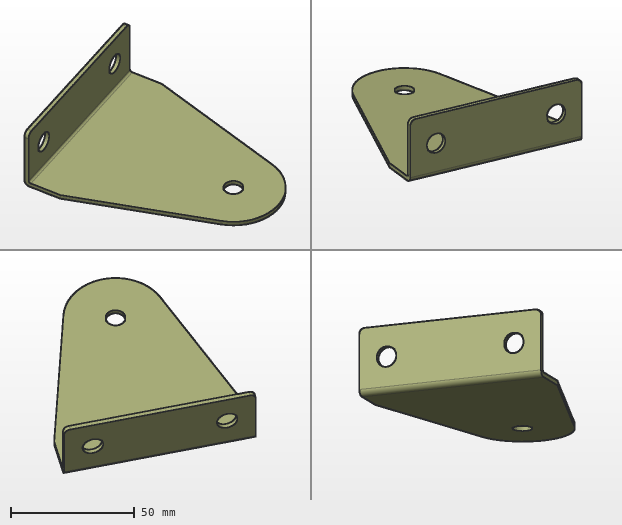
import cadquery as cq
import math

length = 95.9
width = 80.0
height = 28.0
thickness = 2.0

inner_bend_radius = 1.0
outer_bend_radius = 2.5

straight_length = 17.0
nose_radius = 21.2
nose_center_x = length - nose_radius
nose_hole_diameter = 8.1

flange_corner_radius = 2.5
flange_hole_diameter = 8.5
flange_hole_spacing = 56.0
flange_hole_z = 15.0


def make_angle():
    """Bent L-shaped sheet, still rectangular in plan."""
    sheet = (
        cq.Workplane("XZ")
        .polyline([
            (0, 0),
            (length, 0),
            (length, thickness),
            (thickness, thickness),
            (thickness, height),
            (0, height),
        ])
        .close()
        .extrude(width / 2, both=True)
    )
    outer_edge = cq.selectors.NearestToPointSelector((0, 0, 0))
    inner_edge = cq.selectors.NearestToPointSelector((thickness, 0, thickness))
    sheet = sheet.edges("|Y").edges(outer_edge).fillet(outer_bend_radius)
    return sheet.edges("|Y").edges(inner_edge).fillet(inner_bend_radius)


def make_plan_outline():
    """Tall prism whose sloping sides run tangent into the round nose."""
    run = nose_center_x - straight_length
    corner_distance = math.hypot(run, width / 2)
    corner_angle = math.pi - math.atan2(width / 2, run)
    tangent_angle = corner_angle - math.acos(nose_radius / corner_distance)
    tangent_x = nose_center_x + nose_radius * math.cos(tangent_angle)
    tangent_y = nose_radius * math.sin(tangent_angle)
    return (
        cq.Workplane("XY")
        .moveTo(0, -width / 2)
        .lineTo(straight_length, -width / 2)
        .lineTo(tangent_x, -tangent_y)
        .threePointArc((length, 0), (tangent_x, tangent_y))
        .lineTo(straight_length, width / 2)
        .lineTo(0, width / 2)
        .close()
        .extrude(height)
    )


def make_nose_hole():
    return (
        cq.Workplane("XY")
        .center(nose_center_x, 0)
        .circle(nose_hole_diameter / 2)
        .extrude(thickness)
    )


def make_flange_holes():
    half_spacing = flange_hole_spacing / 2
    return (
        cq.Workplane("YZ")
        .pushPoints([(side * half_spacing, flange_hole_z) for side in (-1, 1)])
        .circle(flange_hole_diameter / 2)
        .extrude(thickness)
    )


bracket = make_angle().intersect(make_plan_outline())
bracket = bracket.faces(">Z").edges("|X").fillet(flange_corner_radius)
result = bracket.cut(make_nose_hole()).cut(make_flange_holes())